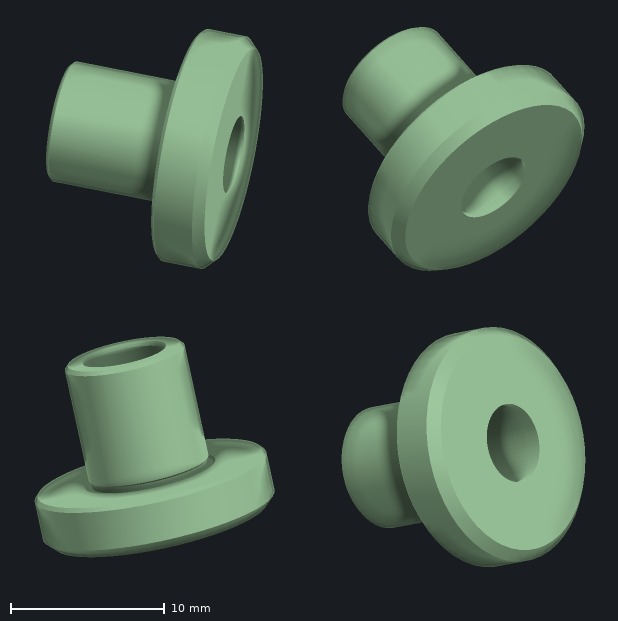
import cadquery as cq

total_length = 11.66
flange_thickness = 3.5
flange_face_x = total_length - flange_thickness

flange_radius = 15.47 / 2
sleeve_radius = 8.0 / 2
neck_radius = 7.75 / 2
bore_radius = 5.15 / 2

edge_chamfer = 0.25
back_chamfer = 0.67

relief_depth = sleeve_radius - neck_radius
relief_slope_length = 0.11
relief_start_x = 7.78
relief_outer_radius = 4.38
relief_floor_radius = 4.24


def revolve_about_x(points):
    """Revolve a closed (x, radius) outline around the X axis."""
    return cq.Workplane("XY").polyline(points).close().revolve(360, (0, 0, 0), (1, 0, 0))


def make_body():
    """Sleeve, relief undercut and flange as one turned outline."""
    return revolve_about_x([
        (0, 0),
        (0, sleeve_radius - edge_chamfer),
        (edge_chamfer, sleeve_radius),
        (relief_start_x, sleeve_radius),
        (relief_start_x + relief_slope_length, neck_radius),
        (flange_face_x + relief_depth, neck_radius),
        (flange_face_x + relief_depth, relief_floor_radius),
        (flange_face_x, relief_outer_radius),
        (flange_face_x, flange_radius - edge_chamfer),
        (flange_face_x + edge_chamfer, flange_radius),
        (total_length - back_chamfer, flange_radius),
        (total_length, flange_radius - back_chamfer),
        (total_length, 0),
    ])


def make_bore():
    """Through bore with a chamfered mouth at the sleeve end."""
    return revolve_about_x([
        (0, 0),
        (0, bore_radius + edge_chamfer),
        (edge_chamfer, bore_radius),
        (total_length, bore_radius),
        (total_length, 0),
    ])


result = make_body().cut(make_bore())